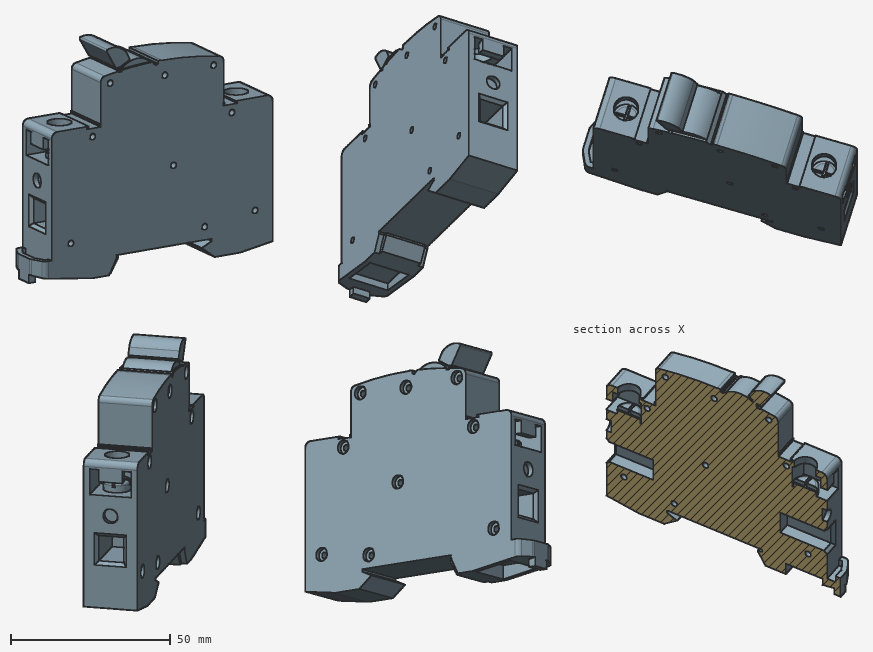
import cadquery as cq
import math


WIDTH = 17.5
BODY_LENGTH = 81.3
MID_Y = BODY_LENGTH / 2
SHOULDER_Z = 50.0
SHOULDER_ROUND = 2.1
TOWER_LENGTH = 45.25
TOWER_FRONT_Y = MID_Y - TOWER_LENGTH / 2
TOWER_BACK_Y = MID_Y + TOWER_LENGTH / 2
TOWER_CORNER_Z = 65.25
TOWER_CROWN_Z = 67.5
TOWER_ROUND = 1.9
RAIL_TOP_Z = 6.2
LIP_Z = 5.4
BACK_EDGE_Z = 1.9
HOOK_ROOT_Y = 58.9
HOOK_TIP = (55.2, 3.7)
FOOT_FRONT_Y = 60.0
FOOT_BACK_Y = 69.2

BEAD_RADIUS = 1.3
BEAD_Y = 40.1
BEAD_TOP_Z = 67.6
NOTCH_TOP_Z = 69.0
NOTCH_BACK_Y = 39.1
NOTCH_STEP_Z = 66.55
NOTCH_STEP_Y = 38.7
NOTCH_BOTTOM = (38.5, 66.2)
NOTCH_RAMP_TOP = (37.1, 67.4)
TOGGLE_GAP_FRONT_Y = 24.7
TOGGLE_GAP_BACK_Y = 25.8
TOGGLE_GAP_Z = 66.0

GROOVE_LENGTH = 5.0
GROOVE_DEPTH = 0.9
GROOVE_LIP_HEIGHT = 0.4
OUTER_LIP = 0.6
INNER_LIP = 0.4

OVERALL_LENGTH = 86.2
CLIP_REACH = OVERALL_LENGTH - BODY_LENGTH
CLIP_TOP_Z = 8.1
CLIP_BACK_Y = 27.1
CLIP_HOOK_Y = 24.0
CLIP_FLAT_BACK_Y = 21.1
CLIP_TIP_Y = 25.5
CLIP_TIP_Z = 4.65
CLIP_TOE_Y = 22.75
CLIP_FLAT_FRONT_Y = 15.3
CLIP_NOSE_Z = 2.85
NOSE_SIDE_REACH = 2.5
NOSE_HALF_WIDTH = 3.7
NOSE_ROUND = 1.9
SLOT_HALF_WIDTH = 7.0
SLOT_SIDE_REACH = 1.3
SLOT_REACH = 3.1
SLOT_NOSE_HALF_WIDTH = 3.4
SLOT_DEPTH = 2.5
UNDERSIDE_FRONT_Y = 1.8
UNDERSIDE_ROOF_Z = 4.5
TAB_WIDTH = 5.95
TAB_THICKNESS = 2.4

SCREW_Y = 8.2
SCREW_HOLE_DIAMETER = 7.8
SCREW_DIAMETER = 8.6
SCREW_TOP_Z = 42.15
SCREW_ROUND = 1.0
SCREW_SLOT_WIDTH = 0.8
SCREW_SLOT_DEPTH = 1.6
CHAMBER_WIDTH = 13.45
CHAMBER_FLOOR_Z = 38.8
CHAMBER_ROOF_Z = 47.15
CHAMBER_DEPTH = 12.8
CURTAIN_WIDTH = 7.6
CURTAIN_BOTTOM_Z = 43.2
CURTAIN_THICKNESS = 2.4
PORT_Z = 32.15
PORT_DIAMETER = 4.65
PORT_DEPTH = 1.8
WIRE_Z = 21.1
WIRE_MOUTH_WIDTH = 10.35
WIRE_MOUTH_HEIGHT = 10.5
WIRE_FUNNEL = 1.1
WIRE_DEPTH = 17.2

RIVET_BORE = 2.0
RIVET_HEAD = 4.3
RIVET_HEAD_DEPTH = 1.55
RIVET_CENTRES = [
    (21.55, 62.9), (41.6, 62.4), (59.6, 62.9),
    (15.1, 46.4), (66.3, 46.4), (44.8, 32.4),
    (7.1, 12.7), (56.3, 10.5), (74.8, 13.0),
]

ROCKER_WIDTH = 15.9
ROCKER_RADIUS = 8.0
ROCKER_Y = 32.0
ROCKER_TOP_Z = 69.2
HANDLE_WIDTH = 16.4
HANDLE_TOP_Y = 22.9
HANDLE_TOP_Z = 74.2
HANDLE_CROWN_RADIUS = 6.3
HANDLE_TIP_ROUND = 0.5
HANDLE_CROWN_BACK_Y = 27.9
HANDLE_CROWN_FRONT_Y = 20.35
HANDLE_BACK_CORNER = (29.1, 69.4)
HANDLE_FOOT_BACK = (25.3, 67.3)
HANDLE_FOOT_FRONT = (24.0, 67.3)
NECK_WIDTH = 9.9
NECK_OUTLINE = [(26.0, 66.4), (26.0, 68.3), (27.5, 69.1), (27.5, 66.4)]


def extrude_across(sketch, width):
    """Extrude a YZ outline across X, centred on the mid-plane."""
    return sketch.extrude(width / 2, both=True)


def prism(points, width):
    return extrude_across(cq.Workplane("YZ").polyline(points).close(), width)


def block(width, y_range, z_range):
    (y0, y1), (z0, z1) = y_range, z_range
    return prism([(y0, z0), (y1, z0), (y1, z1), (y0, z1)], width)


def at_both_ends(shape):
    """The shape together with its mirror image about the mid-length plane."""
    return shape.union(shape.mirror("XZ", (0, MID_Y, 0)))


def make_housing():
    base = prism(
        [
            (0, CLIP_TOP_Z), (CLIP_BACK_Y, CLIP_TOP_Z), (CLIP_BACK_Y, RAIL_TOP_Z),
            (HOOK_ROOT_Y, RAIL_TOP_Z), (HOOK_ROOT_Y, LIP_Z), HOOK_TIP, (FOOT_FRONT_Y, 0), (FOOT_BACK_Y, 0),
            (BODY_LENGTH, BACK_EDGE_Z), (BODY_LENGTH, SHOULDER_Z), (0, SHOULDER_Z),
        ],
        WIDTH,
    )
    base = base.edges("|X").edges(">Z").fillet(SHOULDER_ROUND)
    groove_front = TOWER_FRONT_Y - GROOVE_LENGTH
    groove_floor = SHOULDER_Z - GROOVE_DEPTH
    lip_bottom = SHOULDER_Z - GROOVE_LIP_HEIGHT
    groove = block(WIDTH, (groove_front, TOWER_FRONT_Y), (groove_floor, lip_bottom))
    mouth = block(WIDTH, (groove_front + OUTER_LIP, TOWER_FRONT_Y - INNER_LIP), (groove_floor, SHOULDER_Z))
    base = base.cut(at_both_ends(groove.union(mouth)))

    tower = extrude_across(
        cq.Workplane("YZ")
        .moveTo(TOWER_FRONT_Y, groove_floor)
        .lineTo(TOWER_FRONT_Y, TOWER_CORNER_Z)
        .threePointArc((MID_Y, TOWER_CROWN_Z), (TOWER_BACK_Y, TOWER_CORNER_Z))
        .lineTo(TOWER_BACK_Y, groove_floor)
        .close(),
        WIDTH,
    )
    tower = tower.edges("|X").edges(">Z").fillet(TOWER_ROUND)
    bead = extrude_across(
        cq.Workplane("YZ", origin=(0, BEAD_Y, BEAD_TOP_Z - BEAD_RADIUS)).circle(BEAD_RADIUS),
        WIDTH,
    )
    notch = prism(
        [
            (NOTCH_BACK_Y, NOTCH_TOP_Z), (NOTCH_BACK_Y, NOTCH_STEP_Z), (NOTCH_STEP_Y, NOTCH_STEP_Z),
            NOTCH_BOTTOM, NOTCH_RAMP_TOP, (NOTCH_RAMP_TOP[0], NOTCH_TOP_Z),
        ],
        WIDTH,
    )
    toggle_gap = block(WIDTH, (TOGGLE_GAP_FRONT_Y, TOGGLE_GAP_BACK_Y), (TOGGLE_GAP_Z, NOTCH_TOP_Z))
    return base.union(tower.union(bead).cut(notch).cut(toggle_gap))


def make_clip():
    side = prism(
        [
            (-CLIP_REACH, CLIP_TOP_Z), (CLIP_BACK_Y, CLIP_TOP_Z), (CLIP_BACK_Y, RAIL_TOP_Z),
            (CLIP_HOOK_Y, RAIL_TOP_Z), (CLIP_HOOK_Y, LIP_Z), (CLIP_FLAT_BACK_Y, 0),
            (CLIP_FLAT_FRONT_Y, 0), (-CLIP_REACH, CLIP_NOSE_Z),
        ],
        WIDTH,
    )
    half = WIDTH / 2
    plan = (
        cq.Workplane("XY")
        .polyline(
            [
                (-half, CLIP_BACK_Y), (-half, -NOSE_SIDE_REACH), (-NOSE_HALF_WIDTH, -CLIP_REACH),
                (NOSE_HALF_WIDTH, -CLIP_REACH), (half, -NOSE_SIDE_REACH), (half, CLIP_BACK_Y),
            ]
        )
        .close()
        .extrude(CLIP_TOP_Z)
        .edges("|Z and (not >Y)")
        .fillet(NOSE_ROUND)
    )
    finger_slot = (
        cq.Workplane("XY", origin=(0, 0, CLIP_TOP_Z))
        .polyline(
            [
                (-SLOT_HALF_WIDTH, 0), (-SLOT_HALF_WIDTH, -SLOT_SIDE_REACH),
                (-SLOT_NOSE_HALF_WIDTH, -SLOT_REACH), (SLOT_NOSE_HALF_WIDTH, -SLOT_REACH),
                (SLOT_HALF_WIDTH, -SLOT_SIDE_REACH), (SLOT_HALF_WIDTH, 0),
            ]
        )
        .close()
        .extrude(-SLOT_DEPTH)
    )
    tongue_width = 2 * SLOT_HALF_WIDTH
    underside = block(tongue_width, (UNDERSIDE_FRONT_Y, CLIP_FLAT_FRONT_Y), (0, UNDERSIDE_ROOF_Z))
    hook = prism(
        [
            (CLIP_HOOK_Y, LIP_Z), (CLIP_TIP_Y, LIP_Z), (CLIP_TIP_Y, CLIP_TIP_Z),
            (CLIP_TOE_Y, 0), (CLIP_FLAT_BACK_Y, 0),
        ],
        tongue_width,
    )
    tab = block(TAB_WIDTH, (-CLIP_REACH, TAB_THICKNESS - CLIP_REACH), (0, CLIP_NOSE_Z))
    return side.intersect(plan).cut(finger_slot).cut(underside).union(hook).union(tab)


def make_terminal_cavity():
    """Screw chamber, test port and wire entry cut from the front face."""
    chamber = block(CHAMBER_WIDTH, (0, CHAMBER_DEPTH), (CHAMBER_FLOOR_Z, CHAMBER_ROOF_Z))
    curtain = block(CURTAIN_WIDTH, (0, CURTAIN_THICKNESS), (CURTAIN_BOTTOM_Z, CHAMBER_ROOF_Z))
    screw_hole = (
        cq.Workplane("XY", origin=(0, SCREW_Y, SCREW_TOP_Z))
        .circle(SCREW_HOLE_DIAMETER / 2)
        .extrude(SHOULDER_Z - SCREW_TOP_Z)
    )
    port = cq.Workplane("XZ", origin=(0, 0, PORT_Z)).circle(PORT_DIAMETER / 2).extrude(-PORT_DEPTH)
    bore_width = WIRE_MOUTH_WIDTH - 2 * WIRE_FUNNEL
    bore_height = WIRE_MOUTH_HEIGHT - 2 * WIRE_FUNNEL
    wire_face = cq.Workplane("XZ", origin=(0, 0, WIRE_Z))
    wire_bore = wire_face.rect(bore_width, bore_height).extrude(-WIRE_DEPTH)
    funnel = (
        wire_face.rect(WIRE_MOUTH_WIDTH, WIRE_MOUTH_HEIGHT)
        .workplane(offset=-WIRE_FUNNEL)
        .rect(bore_width, bore_height)
        .loft()
    )
    return chamber.cut(curtain).union(screw_hole).union(port).union(wire_bore).union(funnel)


def make_screw():
    screw = (
        cq.Workplane("XY", origin=(0, SCREW_Y, CHAMBER_FLOOR_Z))
        .circle(SCREW_DIAMETER / 2)
        .extrude(SCREW_TOP_Z - CHAMBER_FLOOR_Z)
        .faces(">Z")
        .edges()
        .fillet(SCREW_ROUND)
    )
    cross = (
        cq.Workplane("XY", origin=(0, SCREW_Y, SCREW_TOP_Z))
        .rect(SCREW_SLOT_WIDTH, SCREW_DIAMETER)
        .extrude(-SCREW_SLOT_DEPTH)
    )
    cross = cross.union(cross.rotate((0, SCREW_Y, 0), (0, SCREW_Y, 1), 90))
    return screw.cut(cross)


def make_rivet_holes():
    side = cq.Workplane("YZ", origin=(-WIDTH / 2, 0, 0)).pushPoints(RIVET_CENTRES)
    bores = side.circle(RIVET_BORE / 2).extrude(WIDTH)
    heads = side.circle(RIVET_HEAD / 2).extrude(RIVET_HEAD_DEPTH)
    return bores.union(heads)


def make_toggle():
    rocker = extrude_across(
        cq.Workplane("YZ", origin=(0, ROCKER_Y, ROCKER_TOP_Z - ROCKER_RADIUS)).circle(ROCKER_RADIUS),
        ROCKER_WIDTH,
    )

    def crown_point(y):
        drop = HANDLE_CROWN_RADIUS - math.sqrt(HANDLE_CROWN_RADIUS**2 - (y - HANDLE_TOP_Y) ** 2)
        return (y, HANDLE_TOP_Z - drop)

    handle = extrude_across(
        cq.Workplane("YZ")
        .moveTo(*HANDLE_FOOT_BACK)
        .lineTo(*HANDLE_BACK_CORNER)
        .lineTo(*crown_point(HANDLE_CROWN_BACK_Y))
        .threePointArc((HANDLE_TOP_Y, HANDLE_TOP_Z), crown_point(HANDLE_CROWN_FRONT_Y))
        .lineTo(*HANDLE_FOOT_FRONT)
        .close(),
        HANDLE_WIDTH,
    )
    handle = handle.edges("|X and <Y").fillet(HANDLE_TIP_ROUND)
    neck = prism(NECK_OUTLINE, NECK_WIDTH)
    return rocker.union(neck).union(handle)


result = (
    make_housing()
    .cut(at_both_ends(make_terminal_cavity()))
    .union(at_both_ends(make_screw()))
    .union(make_clip())
    .cut(make_rivet_holes())
    .union(make_toggle())
)